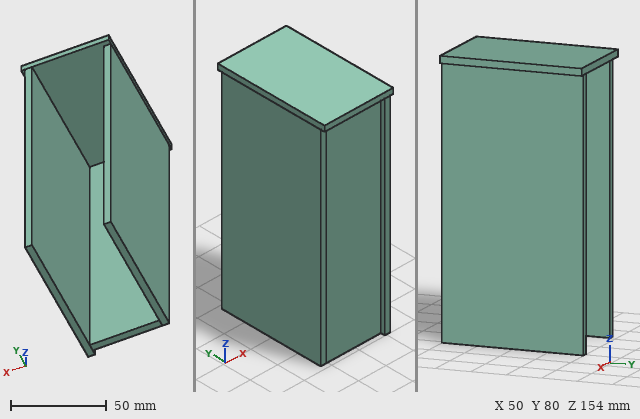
import cadquery as cq

width = 50.0
depth = 80.0
height = 154.0

board = 4.0
lid_overhang = 2.2
side_setback = 3.0

panel_height = height - board
right_panel_x = width - lid_overhang - board


def make_board(size_x, size_y, size_z, corner):
    """Rectangular board with its left, front, bottom corner at the given point."""
    return cq.Workplane("XY").box(size_x, size_y, size_z, centered=False).translate(corner)


lid = make_board(width, depth, board, (0, 0, panel_height))

left_panel = make_board(board, depth - 2 * side_setback, panel_height, (0, side_setback, 0))

right_panel = make_board(board, depth, panel_height, (right_panel_x, 0, 0))

front_panel = make_board(right_panel_x - board, board, panel_height, (board, side_setback, 0))

result = cq.Compound.makeCompound([
    lid.val(),
    left_panel.val(),
    right_panel.val(),
    front_panel.val(),
])